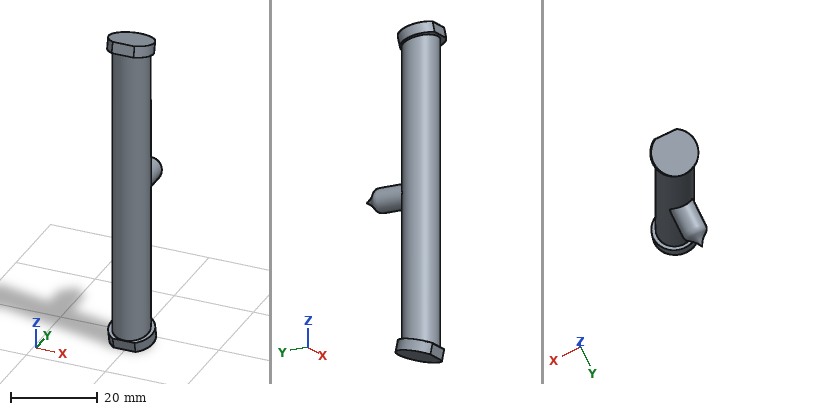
import cadquery as cq
import math

bar_diameter = 9.0
bar_radius = bar_diameter / 2

stud_radius = 3.0
stud_shank_end = 10.4
stud_tip = 14.5
stud_tip_half_angle = 30

cap_radius = 5.5
cap_flat_width = 5.5
cap_flat_distance = math.sqrt(cap_radius**2 - (cap_flat_width / 2) ** 2)
cap_thickness = 2.75
cap_tilt = 12.5

cap_seats = [
    (-0.6, 36.8, 1),
    (0, -36.8, -1),
]


def inner_face_plane(center_y, center_z, side):
    """Tilted plane where a cap meets the bar, with its normal pointing away from the bar."""
    tilt = math.radians(cap_tilt)
    outward = (0, math.sin(tilt), side * math.cos(tilt))
    sideways = (1, 0, 0)
    return cq.Plane(origin=(0, center_y, center_z), xDir=sideways, normal=outward)


def make_cap(center_y, center_z, side):
    """Disc on a bar end, with one flat on its -Y side."""
    half_flat = cap_flat_width / 2
    flat_y = -side * cap_flat_distance
    return (
        cq.Workplane(inner_face_plane(center_y, center_z, side))
        .moveTo(-half_flat, flat_y)
        .lineTo(half_flat, flat_y)
        .threePointArc((0, side * cap_radius), (-half_flat, flat_y))
        .close()
        .extrude(cap_thickness)
    )


def make_stud():
    """Pointed stud along Y, with an S-curved nose that leaves the shank smoothly."""
    nose_middle = (stud_radius / 2, (stud_shank_end + stud_tip) / 2)
    along_stud = (0, 1)
    half_angle = math.radians(stud_tip_half_angle)
    into_tip = (-math.sin(half_angle), math.cos(half_angle))
    return (
        cq.Workplane("XY")
        .lineTo(stud_radius, 0)
        .lineTo(stud_radius, stud_shank_end)
        .spline([nose_middle, (0, stud_tip)], tangents=[along_stud, into_tip], includeCurrent=True)
        .close()
        .revolve(360, (0, 0, 0), (0, 1, 0))
    )


def make_bar():
    """Rod with its stud, trimmed at both ends to the inner faces of the caps."""
    rod_half_length = max(abs(center_z) for _, center_z, _ in cap_seats) + cap_thickness
    bar = cq.Workplane("XY").circle(bar_radius).extrude(rod_half_length, both=True)
    for seat in cap_seats:
        beyond_cap = (
            cq.Workplane(inner_face_plane(*seat))
            .circle(2 * cap_radius)
            .extrude(2 * cap_radius)
        )
        bar = bar.cut(beyond_cap)
    return bar.union(make_stud())


bar_with_stud = make_bar()
caps = [make_cap(*seat) for seat in cap_seats]

result = cq.Compound.makeCompound([bar_with_stud.val(), *[cap.val() for cap in caps]])